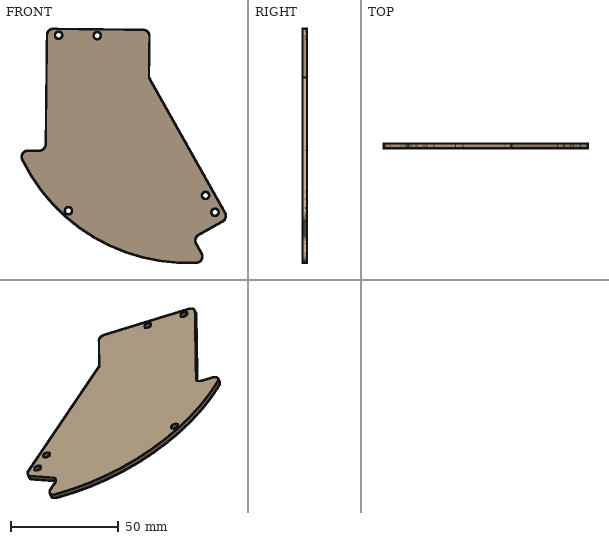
import cadquery as cq
import math

thickness = 2.3
tilt = 0.636
rim_radius = 85.85
corner_radius = 3.0

side_distance = 65.9
lip_distance = 34.2
top_height = 22.7
neck_x = -18.0
slant_distance = 15.4
lower_turn = 60.0

hole_diameter = 3.3
top_hole_margin = 3.0
slant_hole_margin = 4.0
side_hole_margin = 5.5
end_hole_x = side_hole_margin - side_distance
top_hole_z = top_height - top_hole_margin
top_hole_pitch = 18.0
slant_hole_z = -slant_distance - slant_hole_margin
slant_hole_pitch = 9.0
rim_hole = (-54.9, -62.1)

mirror_angle = math.radians(180 + lower_turn)
slant_angle = 2 * mirror_angle


def mirrored(point):
    """Reflect a point across the symmetry line that swaps the two lips."""
    x, z = point
    cosine = math.cos(slant_angle)
    sine = math.sin(slant_angle)
    return (x * cosine + z * sine, x * sine - z * cosine)


def make_blank():
    """Plate with its rounded corners; only the shallow neck corner stays sharp."""
    top_left = (-side_distance, top_height)
    top_right = (neck_x, top_height)
    inner_corner = (-side_distance, -lip_distance)
    lip_tip = (-math.sqrt(rim_radius**2 - lip_distance**2), -lip_distance)
    slant_corner = mirrored((-side_distance, -slant_distance))
    rim_middle = (rim_radius * math.cos(mirror_angle), rim_radius * math.sin(mirror_angle))

    neck_z = (slant_distance + neck_x * math.sin(slant_angle)) / math.cos(slant_angle)
    neck_corner = (neck_x, neck_z)

    outline = (
        cq.Workplane("XZ")
        .moveTo(*top_left)
        .lineTo(*top_right)
        .lineTo(*neck_corner)
        .lineTo(*slant_corner)
        .lineTo(*mirrored(inner_corner))
        .lineTo(*mirrored(lip_tip))
        .threePointArc(rim_middle, lip_tip)
        .lineTo(*inner_corner)
        .close()
    )
    blank = outline.extrude(-thickness)

    neck_edge = cq.selectors.NearestToPointSelector((neck_x, thickness / 2, neck_z))
    upright_edges = cq.selectors.ParallelDirSelector(cq.Vector(0, 1, 0))
    return blank.edges(upright_edges - neck_edge).fillet(corner_radius)


def cut_holes(plate):
    """Drill two holes by the top edge, two by the slanted edge and one by the rim."""
    slant_holes = [
        mirrored((end_hole_x, slant_hole_z)),
        mirrored((end_hole_x + slant_hole_pitch, slant_hole_z)),
    ]
    top_holes = [(end_hole_x, top_hole_z), (end_hole_x + top_hole_pitch, top_hole_z)]
    cutters = (
        cq.Workplane("XZ")
        .pushPoints(top_holes + slant_holes + [rim_hole])
        .circle(hole_diameter / 2)
        .extrude(-thickness)
    )
    return plate.cut(cutters)


result = cut_holes(make_blank()).rotate((0, 0, 0), (0, 1, 0), tilt)